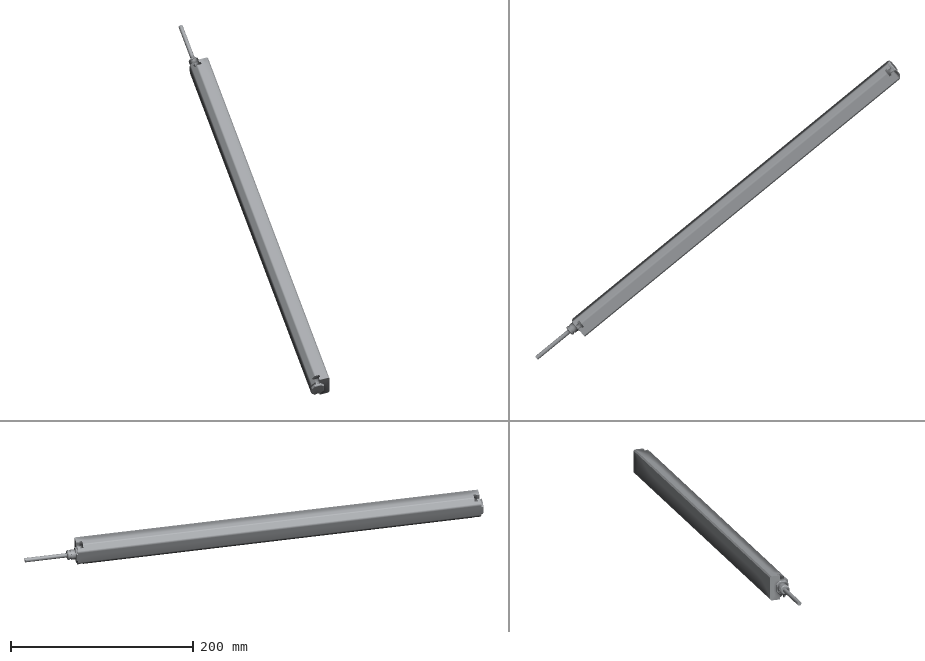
import cadquery as cq

total_length = 511.9
depth = 21.01
height = 28.0
half_height = height / 2

cable_reach = 57.9
right_plate_thickness = 2.6
left_plate_thickness = 1.7
cap_length = 12.4
housing_length = total_length - cable_reach - right_plate_thickness
profile_length = housing_length - 2 * cap_length

front_chamfer = 6.4
front_rounding = 2.9
back_chamfer = 1.5

plate_depth = 14.2
plate_height = 15.4
plate_corner = 3.5
plate_edge_chamfer = 0.6

notch_y = 7.3
notch_wall = 3.7
pocket_length = 3.0
pocket_width = 8.4
pocket_depth = 6.0
channel_width = 5.0
channel_depth = 6.0

cable_y = 7.4
cable_diameter = 4.8
relief_diameter = 11.0
relief_groove_diameter = 9.4
relief_reach = 11.0
relief_tip_length = 2.4
relief_groove_length = 1.8
relief_tip_chamfer = 1.0


def section_bar(x_start, length):
    """Bar with two bevelled and rounded front corners and two small back chamfers."""
    bar = cq.Workplane("XY").box(length, depth, height, centered=(False, False, True))
    bar = bar.edges("|X and <Y").chamfer(front_chamfer)
    bar = bar.edges("|X and >Y").chamfer(back_chamfer)
    bevel_zone = cq.selectors.BoxSelector((0, -front_chamfer, -height), (length, depth / 2, height))
    bar = bar.edges("|X").edges(bevel_zone).fillet(front_rounding)
    return bar.translate((x_start, 0, 0))


def end_plate(thickness):
    """Plate standing out from the cap's outer end toward -X, with its base at X = 0."""
    plate = cq.Workplane("XY").box(thickness, plate_depth, plate_height, centered=(False, False, True))
    plate = plate.edges("|X").chamfer(plate_corner)
    plate = plate.faces("<X").chamfer(plate_edge_chamfer)
    return plate.translate((-thickness, 0, 0))


def notch(side):
    """Round-bottomed channel through the end wall, leading to a wider pocket; side is 1 or -1."""
    channel_radius = channel_width / 2
    channel_axis_z = half_height - channel_depth + channel_radius
    channel = (
        cq.Workplane("YZ")
        .moveTo(notch_y - channel_radius, half_height)
        .lineTo(notch_y - channel_radius, channel_axis_z)
        .threePointArc((notch_y, half_height - channel_depth), (notch_y + channel_radius, channel_axis_z))
        .lineTo(notch_y + channel_radius, half_height)
        .close()
        .extrude(notch_wall)
    )
    pocket = cq.Workplane("XY").box(pocket_length, pocket_width, pocket_depth, centered=(False, True, False))
    pocket = pocket.translate((notch_wall, notch_y, half_height - pocket_depth))
    cutter = channel.union(pocket)
    return cutter if side > 0 else cutter.mirror("XY")


def end_cap(thickness):
    """Cap with its outer end at X = 0, facing -X."""
    cap = section_bar(0, cap_length).union(end_plate(thickness))
    for side in (1, -1):
        cap = cap.cut(notch(side))
    return cap


def rod(x_start, x_end, diameter):
    return cq.Workplane("YZ", origin=(x_start, cable_y, 0)).circle(diameter / 2).extrude(x_end - x_start)


def cable_with_relief():
    groove_start = -relief_reach + relief_tip_length
    groove_end = groove_start + relief_groove_length
    cable = rod(-cable_reach, 0, cable_diameter)
    tip = rod(-relief_reach, groove_start, relief_diameter).faces("<X").chamfer(relief_tip_chamfer)
    groove = rod(groove_start, groove_end, relief_groove_diameter)
    sleeve = rod(groove_end, 0, relief_diameter)
    return cable.union(tip).union(groove).union(sleeve)


profile = section_bar(cap_length, profile_length)
cable_cap = end_cap(left_plate_thickness).union(cable_with_relief())
blind_cap = end_cap(right_plate_thickness).mirror("YZ").translate((housing_length, 0, 0))

result = cq.Compound.makeCompound([profile.val(), cable_cap.val(), blind_cap.val()])